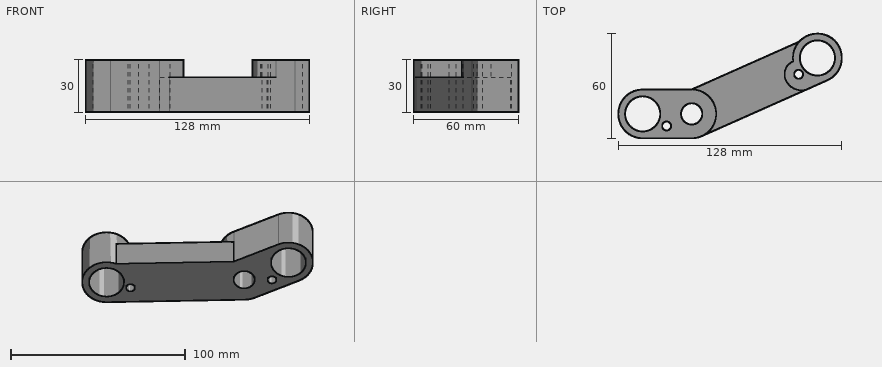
import cadquery as cq
import math

length = 128.0
width = 60.0
height = 30.0
arm_height = 20.0

end_diameter = 28.0
end_radius = end_diameter / 2
large_hole_diameter = 20.0
middle_hole_diameter = 12.0
small_hole_diameter = 5.0
lobe_radius = 8.0

pivot = (end_diameter, 0.0)
ring = (length - end_diameter, width - end_diameter)
block_small_hole = (13.7, -6.9)
ring_small_hole = (ring[0] - 10.8, ring[1] - 9.3)

arm_run = ring[0] - pivot[0]
arm_rise = ring[1] - pivot[1]
arm_length = math.hypot(arm_run, arm_rise)
along = (arm_run / arm_length, arm_rise / arm_length)
lower_side = (along[1], -along[0])


def offset(point, direction, distance):
    """Move a plan point a distance along a unit direction."""
    return (point[0] + distance * direction[0], point[1] + distance * direction[1])


def cylinder(center, diameter):
    """Full-height cylinder standing on the base."""
    return cq.Workplane("XY").center(*center).circle(diameter / 2).extrude(height)


def prism(points, prism_height):
    """Straight-sided body standing on the base."""
    return cq.Workplane("XY").polyline(points).close().extrude(prism_height)


lower_start = offset(pivot, lower_side, end_radius)
lower_end = offset(ring, lower_side, end_radius)

lobe_reach = (ring_small_hole[0] - ring[0], ring_small_hole[1] - ring[1])
lobe_drop = lobe_reach[0] * lower_side[0] + lobe_reach[1] * lower_side[1]
wide_radius = end_radius - lobe_drop
wide_center = offset(ring_small_hole, along, wide_radius - lobe_radius)
wide_end = offset(wide_center, lower_side, wide_radius)


def make_block():
    """Round-ended block carrying the large and middle holes."""
    return (
        cq.Workplane("XY")
        .center(pivot[0] / 2, 0)
        .slot2D(pivot[0] + end_diameter, end_diameter)
        .extrude(height)
    )


def make_arm():
    """Low arm whose upper edge leaves the block at the top of its end arc."""
    upper_start = (pivot[0], pivot[1] + end_radius)
    upper_end = offset(upper_start, along, arm_length)
    return prism([pivot, lower_start, wide_end, ring, upper_end, upper_start], arm_height)


def ring_lobe_corner():
    """Upper crossing of the ring circle and the lobe circle."""
    spacing = math.hypot(*lobe_reach)
    toward_lobe = (lobe_reach[0] / spacing, lobe_reach[1] / spacing)
    sideways = (toward_lobe[1], -toward_lobe[0])
    chord_distance = (spacing**2 + end_radius**2 - lobe_radius**2) / (2 * spacing)
    half_chord = math.sqrt(end_radius**2 - chord_distance**2)
    return offset(offset(ring, toward_lobe, chord_distance), sideways, half_chord)


def arc_middle(center, radius, start, end):
    """Middle of the arc of less than half a turn between two points."""
    toward = ((start[0] + end[0]) / 2 - center[0], (start[1] + end[1]) / 2 - center[1])
    reach = math.hypot(*toward)
    return offset(center, (toward[0] / reach, toward[1] / reach), radius)


def make_ring():
    """Full-height ring end with the lobe around its small hole."""
    corner = ring_lobe_corner()
    seam = offset(ring_small_hole, along, -lobe_radius)
    lobe_middle = arc_middle(ring_small_hole, lobe_radius, corner, seam)
    wide_middle = arc_middle(wide_center, wide_radius, seam, wide_end)
    ring_middle = offset(ring, (math.sqrt(0.5), math.sqrt(0.5)), end_radius)
    return (
        cq.Workplane("XY")
        .moveTo(*corner)
        .threePointArc(lobe_middle, seam)
        .threePointArc(wide_middle, wide_end)
        .lineTo(*lower_end)
        .threePointArc(ring_middle, corner)
        .close()
        .extrude(height)
    )


holes = [
    ((0.0, 0.0), large_hole_diameter),
    (pivot, middle_hole_diameter),
    (block_small_hole, small_hole_diameter),
    (ring, large_hole_diameter),
    (ring_small_hole, small_hole_diameter),
]

result = make_block().union(make_arm()).union(make_ring())
for hole_center, hole_diameter in holes:
    result = result.cut(cylinder(hole_center, hole_diameter))